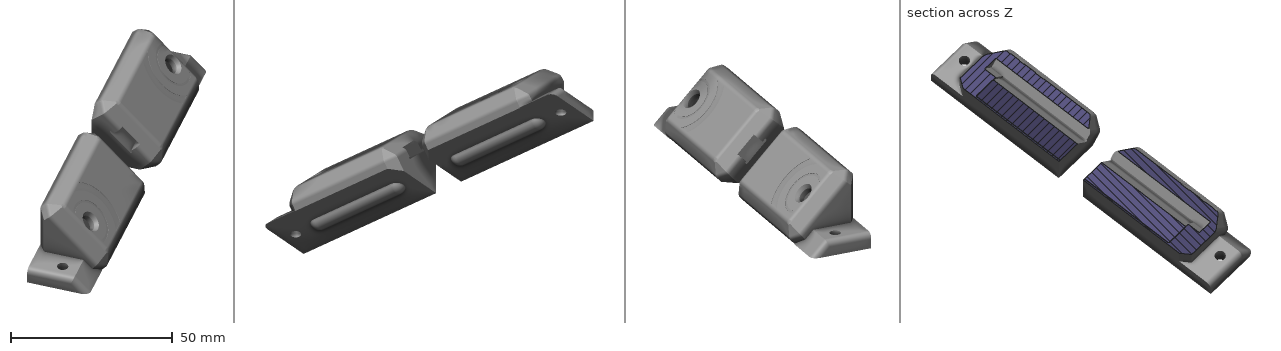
import cadquery as cq
import math

TOTAL_LENGTH = 116.0
GAP = 10.0
TAB_LENGTH = 10.0
SIZE = 21.8
SLOPE_SUM = 29.2
CORNER_LONG = 2.1
CORNER_SHORT = 1.9
SLOPE_BEVEL = 4.1
CORNER_BEVEL = 3.1
BACK_BEVEL = 2.2
EDGE_RADIUS = 2.0

TAB_HEIGHT = 5.1
TAB_WIDTH = 20.2
TAB_RADIUS = 2.0
SCREW_HOLE_DIAMETER = 3.5
SCREW_HOLE_X = 10.0
SCREW_HOLE_INSET = 5.0

HOLE_DIAMETER = 5.1
SINK_DIAMETER = 6.7
SINK_DEPTH = 1.3
HOLE_INSET = 7.8
HOLE_SHIFT = 0.3
RING_RADII = [(6.5, 7.3), (10.5, 13.3)]
RING_DEPTH = 0.1

CHANNEL_WIDTH = 7.9
CHANNEL_ROOF = 3.1
CHANNEL_LENGTH = 39.4
CARTRIDGE_WIDTH = 13.0
CARTRIDGE_TOP = 6.7
CARTRIDGE_THICKNESS = 6.6
CARTRIDGE_LENGTH = 34.8
GROOVE_WIDTH = 9.7
GROOVE_DEPTH = 0.8

RAIL_RADIUS = 3.0
RAIL_DROP = 2.0
RAIL_X = 10.0
RAIL_LENGTH = 36.4
RAIL_INSET = 1.7

INNER_Y = GAP / 2
TAB_END_Y = TOTAL_LENGTH / 2
OUTER_Y = TAB_END_Y - TAB_LENGTH
MIDDLE_Y = (INNER_Y + OUTER_Y) / 2
HALF_LENGTH = (OUTER_Y - INNER_Y) / 2
HOLE_Y = OUTER_Y - HOLE_INSET
RAIL_Y = OUTER_Y - RAIL_INSET - RAIL_LENGTH / 2
SLOPE_START = SLOPE_SUM - SIZE
ENDS = [(INNER_Y, -1), (OUTER_Y, 1)]
ROOT2 = math.sqrt(2)


def slope_plane(depth, along, y):
    """Plane parallel to the sloping face: local x runs down the slope, local y along Y, local z inward."""
    level = SLOPE_SUM / 2 - depth / ROOT2
    shift = along / ROOT2
    return cq.Plane(origin=(level + shift, y, level - shift), xDir=(1, 0, -1), normal=(-1, 0, -1))


def outside_of(point, normal):
    """Large block on the outer side of a plane, used to trim the housing."""
    plane = cq.Plane(origin=point, normal=normal)
    return cq.Workplane(plane).rect(4 * SIZE, 4 * SIZE).extrude(2 * SIZE)


def swapped(vector):
    """Mirror a point or direction across the plane X = Z."""
    return (vector[2], vector[1], vector[0])


def prism():
    """Plain housing block with its constant cross-section."""
    outline = [
        (0, 0),
        (SIZE - CORNER_SHORT, 0),
        (SIZE, CORNER_LONG),
        (SIZE, SLOPE_START),
        (SLOPE_START, SIZE),
        (CORNER_LONG, SIZE),
        (0, SIZE - CORNER_SHORT),
    ]
    return cq.Workplane("XZ", origin=(0, OUTER_Y, 0)).polyline(outline).close().extrude(2 * HALF_LENGTH)


def bevel_points(end_y, outward):
    """Corners of the small top facet at one end, and its neighbour on the back edge.

    The bevels of the slope and of the acute corner run out together at the tip, on the end face.
    """
    corner_y = end_y - outward * CORNER_BEVEL
    back_corner = cq.Vector(0, corner_y, SIZE - CORNER_SHORT)
    top_corner = cq.Vector(CORNER_LONG, corner_y, SIZE)
    top_slope = cq.Vector(SLOPE_START, end_y - outward * SLOPE_BEVEL, SIZE)

    slope_level = SLOPE_SUM - ROOT2 * SLOPE_BEVEL
    corner_drop = CORNER_BEVEL * math.hypot(CORNER_LONG, CORNER_SHORT) / CORNER_LONG
    corner_level = SIZE - CORNER_SHORT - corner_drop
    tip_x = (slope_level - corner_level) / (1 + CORNER_SHORT / CORNER_LONG)
    tip = cq.Vector(tip_x, end_y, slope_level - tip_x)
    return back_corner, top_corner, top_slope, tip


def end_trims(end_y, outward):
    """Blocks that bevel the slope, the top and right faces and the acute corners at one end."""
    back_corner, top_corner, top_slope, tip = bevel_points(end_y, outward)
    trims = [outside_of(top_slope.toTuple(), (1, outward * ROOT2, 1))]
    corner_normal = (-CORNER_SHORT, outward * math.hypot(CORNER_LONG, CORNER_SHORT), CORNER_LONG)
    facet_normal = ((top_slope - top_corner).cross(tip - top_corner) * outward).toTuple()
    for point, normal in [(back_corner.toTuple(), corner_normal), (tip.toTuple(), facet_normal)]:
        trims.append(outside_of(point, normal))
        trims.append(outside_of(swapped(point), swapped(normal)))
    return trims


def rounded_edge_centers():
    """Midpoints of all the housing edges that are rounded."""
    one_side = [(CORNER_LONG, MIDDLE_Y, SIZE), (SLOPE_START, MIDDLE_Y, SIZE)]
    centers = []
    for end_y, outward in ENDS:
        _, top_corner, top_slope, tip = bevel_points(end_y, outward)
        one_side.append(((top_corner + tip) / 2).toTuple())
        for point in [top_slope, tip]:
            middle = (point.x + point.z) / 2
            centers.append((middle, point.y, middle))
    return centers + one_side + [swapped(center) for center in one_side]


def beveled_block():
    """Housing block with all its bevels and rounded edges, without tab and openings."""
    block = prism()
    for end_y, outward in ENDS:
        for trim in end_trims(end_y, outward):
            block = block.cut(trim)
    edges = [block.edges(cq.NearestToPointSelector(center)).val() for center in rounded_edge_centers()]
    block = block.newObject(edges).fillet(EDGE_RADIUS)
    back_point = (0, OUTER_Y - CORNER_BEVEL, 0)
    return block.cut(outside_of(back_point, (-CORNER_BEVEL, BACK_BEVEL, 0)))


def tab():
    """Screw tab with a leaning side; the edges at its free end are rounded."""
    root_y = OUTER_Y - CORNER_BEVEL
    outline = [(0, 0), (TAB_WIDTH, 0), (TAB_WIDTH - TAB_HEIGHT, TAB_HEIGHT), (0, TAB_HEIGHT)]
    body = cq.Workplane("XZ", origin=(0, TAB_END_Y, 0)).polyline(outline).close().extrude(TAB_END_Y - root_y)
    body = body.faces(">Y").edges(">Z or >X").fillet(TAB_RADIUS)
    hole = cq.Workplane("XY", origin=(SCREW_HOLE_X, TAB_END_Y - SCREW_HOLE_INSET, 0))
    return body.cut(hole.circle(SCREW_HOLE_DIAMETER / 2).extrude(TAB_HEIGHT))


def block_from_inner_end(depth, along, width, thickness, length):
    """Block parallel to the slope that starts at the inner end of the housing."""
    plane = slope_plane(depth, along, INNER_Y + length / 2)
    return cq.Workplane(plane).rect(width, length).extrude(thickness)


def ring_grooves():
    """Shallow rings around the sloping hole, limited to the flat part of the slope."""
    margin = EDGE_RADIUS * math.tan(math.radians(22.5))
    flat_width = ROOT2 * (SIZE - SLOPE_START) - 2 * margin
    flat_length = 2 * (HALF_LENGTH - SLOPE_BEVEL - margin)
    flat = cq.Workplane(slope_plane(0, 0, MIDDLE_Y)).rect(flat_width, flat_length).extrude(RING_DEPTH)
    center = cq.Workplane(slope_plane(0, HOLE_SHIFT, HOLE_Y))
    rings = [center.circle(outer).circle(inner).extrude(RING_DEPTH) for inner, outer in RING_RADII]
    return [flat.intersect(ring) for ring in rings]


def sloping_hole():
    """Countersunk hole square to the sloping face."""
    center = cq.Workplane(slope_plane(0, HOLE_SHIFT, HOLE_Y))
    bore = center.circle(HOLE_DIAMETER / 2).extrude(CARTRIDGE_TOP)
    taper = math.degrees(math.atan((SINK_DIAMETER - HOLE_DIAMETER) / 2 / SINK_DEPTH))
    return bore.union(center.circle(SINK_DIAMETER / 2).extrude(SINK_DEPTH, taper=taper))


def cartridge_pocket():
    return block_from_inner_end(CARTRIDGE_TOP, 0, CARTRIDGE_WIDTH, CARTRIDGE_THICKNESS, CARTRIDGE_LENGTH)


def make_cartridge():
    """Insert that fills its pocket, flush with the inner end of the housing."""
    groove = block_from_inner_end(CARTRIDGE_TOP, 0, GROOVE_WIDTH, GROOVE_DEPTH, CARTRIDGE_LENGTH)
    return cartridge_pocket().cut(groove)


def make_housing():
    body = beveled_block().union(tab())
    channel = block_from_inner_end(
        CHANNEL_ROOF, HOLE_SHIFT, CHANNEL_WIDTH, CARTRIDGE_TOP - CHANNEL_ROOF, CHANNEL_LENGTH
    )
    for cutter in [sloping_hole(), channel, cartridge_pocket(), *ring_grooves()]:
        body = body.cut(cutter)
    return body


def make_rail():
    """Segment of a round-ended bar, flat where it lies against the base of the housing."""
    center_z = RAIL_RADIUS - RAIL_DROP
    base_half_width = math.sqrt(RAIL_RADIUS**2 - center_z**2)
    straight = RAIL_LENGTH - 2 * base_half_width
    bar = cq.Workplane("XZ", origin=(0, straight / 2, 0)).circle(RAIL_RADIUS).extrude(straight)
    for end_y in [-straight / 2, straight / 2]:
        bar = bar.union(cq.Workplane("XY").sphere(RAIL_RADIUS).translate((0, end_y, 0)))
    bar = bar.translate((RAIL_X, RAIL_Y, center_z))
    base = cq.Workplane("XY", origin=(RAIL_X, RAIL_Y, 0))
    below_base = base.rect(SIZE, 2 * RAIL_LENGTH).extrude(-RAIL_DROP)
    return bar.intersect(below_base)


bodies = []
for make_body in [make_housing, make_cartridge, make_rail]:
    positive_side = make_body()
    for body in [positive_side, positive_side.mirror("XZ")]:
        bodies.append(body.val())

result = cq.Compound.makeCompound(bodies)